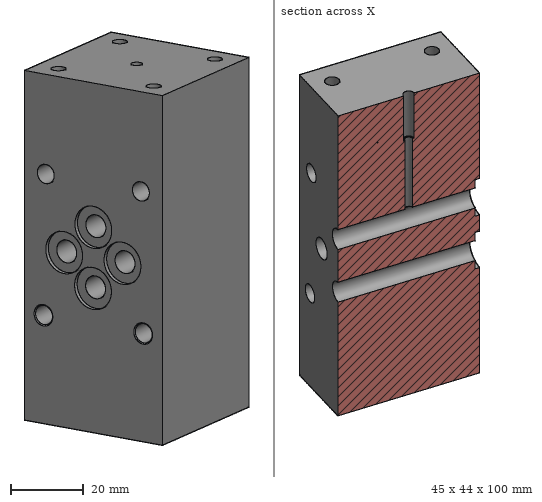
import cadquery as cq

WIDTH = 45.0
DEPTH = 44.0
HEIGHT = 100.0
FRONT_Y = -DEPTH / 2
MID_Z = HEIGHT / 2

PORT_DIAMETER = 6.5
SEAL_DIAMETER = 12.0
SEAL_DEPTH = 1.3
PORT_OFFSET_X = 9.5
PORT_OFFSET_Z = 8.75
LOWER_PORT_X = -0.1
PORTS = [
    (-PORT_OFFSET_X, MID_Z),
    (PORT_OFFSET_X, MID_Z),
    (0, MID_Z + PORT_OFFSET_Z),
    (LOWER_PORT_X, MID_Z - PORT_OFFSET_Z),
]

MOUNT_DIAMETER = 5.5
UPPER_MOUNT_X = 15.5
UPPER_MOUNT_Z = 71.5
MOUNT_SPACING_Z = 40.5
LOWER_MOUNT_X = 16.25
LOWER_MOUNT_Z = UPPER_MOUNT_Z - MOUNT_SPACING_Z
LOWER_MOUNT_CHAMFER = 0.3

CORNER_DIAMETER = 4.13
CORNER_OFFSET = UPPER_MOUNT_X
CORNER_DEPTH = HEIGHT - UPPER_MOUNT_Z
CENTRE_DIAMETER = 3.24
CENTRE_DEPTH = 15.0
CENTRE_PILOT_DIAMETER = 2.3
CENTRE_PILOT_DEPTH = HEIGHT - (MID_Z + PORT_OFFSET_Z)


def cross_bore(x, z, diameter, depth):
    """Cylinder entering the front face and running along +Y."""
    return cq.Workplane(
        cq.Solid.makeCylinder(diameter / 2, depth, cq.Vector(x, FRONT_Y, z), cq.Vector(0, 1, 0))
    )


def mouth_chamfer(x, z):
    """45 degree cone around the mouth of a mounting hole in the front face."""
    radius = MOUNT_DIAMETER / 2
    return cq.Workplane(
        cq.Solid.makeCone(
            radius + LOWER_MOUNT_CHAMFER,
            radius,
            LOWER_MOUNT_CHAMFER,
            cq.Vector(x, FRONT_Y, z),
            cq.Vector(0, 1, 0),
        )
    )


def top_bore(x, y, diameter, depth):
    """Cylinder entering the top face and running along -Z."""
    return cq.Workplane(
        cq.Solid.makeCylinder(diameter / 2, depth, cq.Vector(x, y, HEIGHT), cq.Vector(0, 0, -1))
    )


def saddle_bore(x, y):
    """Corner bore whose floor is arched about X to the radius of a mounting hole."""
    start = cq.Vector(x - CORNER_DIAMETER, y, UPPER_MOUNT_Z)
    arch = cq.Solid.makeCylinder(
        MOUNT_DIAMETER / 2, 2 * CORNER_DIAMETER, start, cq.Vector(1, 0, 0)
    )
    return top_bore(x, y, CORNER_DIAMETER, CORNER_DEPTH).cut(cq.Workplane(arch))


result = cq.Workplane("XY").box(WIDTH, DEPTH, HEIGHT, centered=(True, True, False))

for port_x, port_z in PORTS:
    result = result.cut(cross_bore(port_x, port_z, PORT_DIAMETER, DEPTH))
    result = result.cut(cross_bore(port_x, port_z, SEAL_DIAMETER, SEAL_DEPTH))

for side in (-1, 1):
    lower_x = side * LOWER_MOUNT_X
    result = result.cut(cross_bore(side * UPPER_MOUNT_X, UPPER_MOUNT_Z, MOUNT_DIAMETER, DEPTH))
    result = result.cut(cross_bore(lower_x, LOWER_MOUNT_Z, MOUNT_DIAMETER, DEPTH))
    result = result.cut(mouth_chamfer(lower_x, LOWER_MOUNT_Z))

for side in (-1, 1):
    corner = side * CORNER_OFFSET
    result = result.cut(top_bore(corner, corner, CORNER_DIAMETER, CORNER_DEPTH))
    result = result.cut(saddle_bore(corner, -corner))

result = result.cut(top_bore(0, 0, CENTRE_DIAMETER, CENTRE_DEPTH))
result = result.cut(top_bore(0, 0, CENTRE_PILOT_DIAMETER, CENTRE_PILOT_DEPTH))